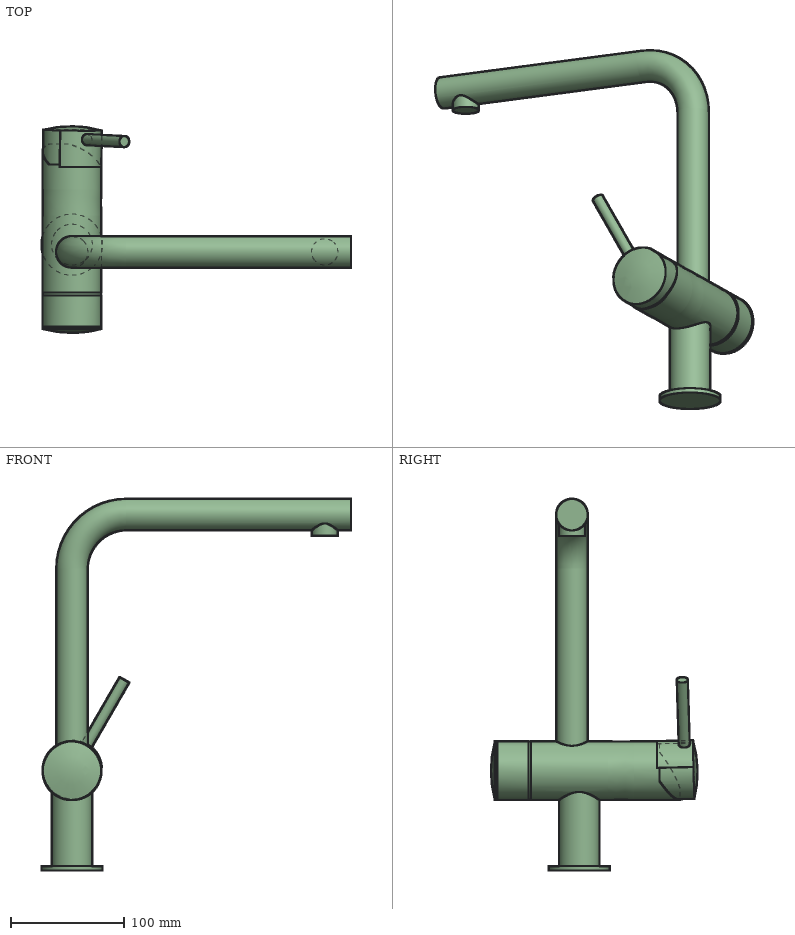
import cadquery as cq
import math

flange_dia = 54.0
flange_height = 4.0
stem_dia = 36.0

body_dia = 52.0
body_radius = body_dia / 2
axis_height = 88.0
total_length = 182.29
front_tip_y = -77.9
rear_tip_y = front_tip_y + total_length
body_rear_y = 88.6
relief_dia = 51.59
waist_front_y = 25.4
waist_rear_y = 48.4
groove_front_y = -44.7
groove_rear_y = -42.4
cap_gap_rear_y = -72.2
cap_gap_front_y = -73.2
dome_base_radius = 25.0
dome_height = 3.4
front_rim_y = front_tip_y + dome_height

hub_dia = 51.59
hub_radius = hub_dia / 2
lever_angle = 30.0
hub_tilt = 1.5
pivot_y = 65.0
hub_rear_y = rear_tip_y - dome_height
lever_dia = 10.0
lever_reach = 91.7
lever_y = 93.2
notch_front_y = 70.6
notch_knee_height = 4.3
notch_low_height = -23.5
pad_front_y = 69.0
pad_flat_height = 15.0
pad_thickness = 0.3

spout_dia = 28.0
spout_radius = spout_dia / 2
spout_y = -6.4
total_height = 327.7
spout_height = total_height - spout_radius
bend_radius = 48.0
total_reach = 273.0
spout_end_x = total_reach - flange_dia / 2
outlet_dia = 23.15
outlet_x = 222.7
outlet_drop = 4.8


def rod_along_y(radius, y_start, y_end):
    """Cylinder around the Y axis between two Y positions."""
    return cq.Workplane("XZ", origin=(0, y_start, 0)).circle(radius).extrude(y_start - y_end)


def domed_end(y_rim, y_tip):
    """Shallow spherical cap around the Y axis, from its rim to its tip."""
    height = abs(y_tip - y_rim)
    sphere_radius = (dome_base_radius**2 + height**2) / (2 * height)
    mid_angle = math.asin(dome_base_radius / sphere_radius) / 2
    mid_drop = sphere_radius * (1 - math.cos(mid_angle))
    mid_y = y_tip + math.copysign(mid_drop, y_rim - y_tip)
    profile = (
        cq.Workplane("XY")
        .moveTo(0, y_rim)
        .lineTo(dome_base_radius, y_rim)
        .threePointArc((sphere_radius * math.sin(mid_angle), mid_y), (0, y_tip))
        .close()
    )
    return profile.revolve(360, (0, 0, 0), (0, 1, 0))


def turned_to_lever(shape):
    """Turn a shape built with the lever pointing up to the real lever direction."""
    return shape.rotate((0, 0, 0), (0, 1, 0), lever_angle)


def make_base():
    """Round flange with the upright stem."""
    flange = cq.Workplane("XY").circle(flange_dia / 2).extrude(flange_height)
    stem = cq.Workplane("XY").circle(stem_dia / 2).extrude(axis_height)
    return flange.union(stem)


def make_body():
    """Body around the Y axis with a waist, two shallow grooves, a domed front and a lever notch."""
    relief_radius = relief_dia / 2
    body = (
        cq.Workplane("XY")
        .moveTo(0, front_rim_y)
        .lineTo(body_radius, front_rim_y)
        .lineTo(body_radius, cap_gap_front_y)
        .lineTo(relief_radius, cap_gap_front_y)
        .lineTo(relief_radius, cap_gap_rear_y)
        .lineTo(body_radius, cap_gap_rear_y)
        .lineTo(body_radius, groove_front_y)
        .lineTo(relief_radius, groove_front_y)
        .lineTo(relief_radius, groove_rear_y)
        .lineTo(body_radius, groove_rear_y)
        .lineTo(body_radius, waist_front_y)
        .threePointArc(
            (relief_radius, (waist_front_y + waist_rear_y) / 2),
            (body_radius, waist_rear_y),
        )
        .lineTo(body_radius, body_rear_y)
        .lineTo(0, body_rear_y)
        .close()
        .revolve(360, (0, 0, 0), (0, 1, 0))
    )
    notch = (
        cq.Workplane("YZ")
        .moveTo(notch_front_y, body_dia)
        .lineTo(notch_front_y, notch_knee_height)
        .lineTo(body_rear_y, notch_low_height)
        .lineTo(body_rear_y, body_dia)
        .close()
        .extrude(body_dia, both=True)
    )
    body = body.cut(turned_to_lever(notch))
    return body.union(domed_end(front_rim_y, front_tip_y))


def make_hub():
    """Lever hub, pad and lever, tipped about the pivot inside the body."""
    hub = rod_along_y(hub_radius, pivot_y, hub_rear_y)
    hub = hub.union(domed_end(hub_rear_y, rear_tip_y))
    pad_space = (
        cq.Workplane("XY", origin=(0, (pad_front_y + hub_rear_y) / 2, pad_flat_height))
        .box(body_dia * 2, hub_rear_y - pad_front_y, body_dia, centered=(True, True, False))
    )
    pad = rod_along_y(hub_radius + pad_thickness, pad_front_y, hub_rear_y).intersect(pad_space)
    lever = cq.Workplane("XY", origin=(0, lever_y, 0)).circle(lever_dia / 2).extrude(lever_reach)
    hub = hub.union(pad).union(lever)
    hub = hub.rotate((0, pivot_y, 0), (1, pivot_y, 0), hub_tilt)
    return turned_to_lever(hub)


def make_spout():
    """Bent tube with the outlet under its far end."""
    bend_start_z = spout_height - bend_radius
    bend_corner = bend_radius * (1 - math.sqrt(0.5))
    path = (
        cq.Workplane("XZ", origin=(0, spout_y, 0))
        .moveTo(0, axis_height)
        .lineTo(0, bend_start_z)
        .threePointArc(
            (bend_corner, spout_height - bend_corner),
            (bend_radius, spout_height),
        )
        .lineTo(spout_end_x, spout_height)
    )
    tube = cq.Workplane("XY", origin=(0, spout_y, axis_height)).circle(spout_radius).sweep(path)
    outlet = (
        cq.Workplane("XY", origin=(outlet_x, spout_y, spout_height))
        .circle(outlet_dia / 2)
        .extrude(-(spout_radius + outlet_drop))
    )
    return tube.union(outlet)


lift = (0, 0, axis_height)
result = make_base().union(make_body().translate(lift))
result = result.union(make_hub().translate(lift))
result = result.union(make_spout())